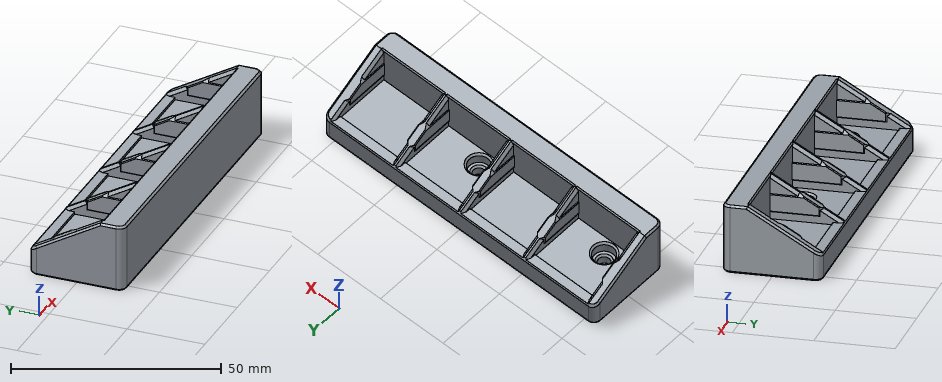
import cadquery as cq
import math

LENGTH = 86.8
DEPTH = 24.5
HEIGHT = 17.3
FRONT = -DEPTH / 2
BACK = DEPTH / 2
CORNER_RADIUS = 2.0
EDGE_CHAMFER = 0.5
SLOPE_START = -6.1
SLOPE_ANGLE = math.radians(30)
SLOPE_NORMAL = (0, math.sin(SLOPE_ANGLE), math.cos(SLOPE_ANGLE))
UP_SLOPE = (0, -math.cos(SLOPE_ANGLE), math.sin(SLOPE_ANGLE))

POCKET_COUNT = 4
POCKET_PITCH = 20.75
DIVIDER = 2.1
POCKET_WIDTH = POCKET_PITCH - DIVIDER
POCKET_FRONT = SLOPE_START
FLOOR_Z = 6.0
LEDGE_Z = 6.6
LEDGE_START = 9.4
FRONT_CHAMFER = 0.35
MOUTH_CHAMFER = 0.8

PAD_THICKNESS = 0.22
PAD_BOTTOM = 7.8
PAD_TOP = 12.4
PAD_BACK = 6.2
PAD_MOUTH_CHAMFER = 0.3
PAD_SIDE_ANGLE = 45

HOLE_CENTERS = [(-33.4, -2.3), (6.6, -2.3)]
HOLE_RADIUS = 3.4 / 2
HOLE_LEAD_IN = 0.5
HEAD_RADIUS = 6.0 / 2
HEAD_DEPTH = 3.0
HEAD_LEAD_IN = 0.5

OVERCUT = 4.3


def make_body():
    back_height = HEIGHT - (BACK - SLOPE_START) * math.tan(SLOPE_ANGLE)
    body = (
        cq.Workplane("YZ")
        .moveTo(FRONT, 0)
        .lineTo(BACK, 0)
        .lineTo(BACK, back_height)
        .lineTo(SLOPE_START, HEIGHT)
        .lineTo(FRONT, HEIGHT)
        .close()
        .extrude(LENGTH / 2, both=True)
        .edges("|Z")
        .fillet(CORNER_RADIUS)
    )
    slope_face = body.faces(cq.selectors.ParallelDirSelector(cq.Vector(*SLOPE_NORMAL)))
    ridge = cq.selectors.NearestToPointSelector((0, SLOPE_START, HEIGHT))
    return body.faces(">Z or <Z").add(slope_face).edges(-ridge).chamfer(EDGE_CHAMFER)


def make_mouth_flare(gap, chamfer):
    """Cutter along the slope that bevels both side walls of an opening, behind the pocket front."""
    along_slope = cq.Plane(origin=(0, SLOPE_START, HEIGHT), xDir=(1, 0, 0), normal=UP_SLOPE)
    inner = gap / 2
    outer = inner + chamfer
    flare = (
        cq.Workplane(along_slope)
        .moveTo(-inner, -chamfer)
        .lineTo(inner, -chamfer)
        .lineTo(outer, 0)
        .lineTo(outer, OVERCUT)
        .lineTo(-outer, OVERCUT)
        .lineTo(-outer, 0)
        .close()
        .extrude(DEPTH + OVERCUT, both=True)
    )
    limits = (
        cq.Workplane("XY")
        .box(LENGTH, DEPTH, HEIGHT, centered=(True, False, False))
        .translate((0, POCKET_FRONT, LEDGE_Z))
    )
    return flare.intersect(limits)


def make_left_pad():
    """Pad with sloping sides on the left wall, running into the front wall.

    Its root is sunk into the wall as far as the mouth chamfer cuts the wall back.
    """
    root = MOUTH_CHAMFER
    rise = root + PAD_THICKNESS
    root_front = POCKET_FRONT - rise
    root_length = PAD_BACK + root - root_front
    root_height = PAD_TOP - PAD_BOTTOM + 2 * root
    return (
        cq.Workplane("YZ")
        .rect(root_length, root_height, centered=False)
        .extrude(rise, taper=PAD_SIDE_ANGLE)
        .translate((-POCKET_WIDTH / 2 - root, root_front, PAD_BOTTOM - root))
    )


def make_pocket():
    """Solid with the shape of one pocket's empty space, centred on X = 0."""
    half_width = POCKET_WIDTH / 2
    space = (
        cq.Workplane("YZ")
        .moveTo(POCKET_FRONT, FLOOR_Z)
        .lineTo(LEDGE_START, FLOOR_Z)
        .lineTo(LEDGE_START, LEDGE_Z)
        .lineTo(BACK + OVERCUT, LEDGE_Z)
        .lineTo(BACK + OVERCUT, HEIGHT + OVERCUT)
        .lineTo(POCKET_FRONT, HEIGHT + OVERCUT)
        .close()
        .extrude(half_width, both=True)
        .union(make_mouth_flare(POCKET_WIDTH, MOUTH_CHAMFER))
    )
    left_pad = make_left_pad()
    space = space.cut(left_pad).cut(left_pad.mirror("YZ"))
    space = space.union(make_mouth_flare(POCKET_WIDTH - 2 * PAD_THICKNESS, PAD_MOUTH_CHAMFER))

    front_bevel = (
        cq.Workplane("YZ")
        .moveTo(POCKET_FRONT, HEIGHT - FRONT_CHAMFER)
        .lineTo(POCKET_FRONT, HEIGHT)
        .lineTo(POCKET_FRONT - FRONT_CHAMFER, HEIGHT)
        .close()
        .extrude(half_width + MOUTH_CHAMFER, both=True)
    )
    return space.union(front_bevel)


def make_screw_hole():
    """Stepped hole cutter, bevelled where the head recess and the shank begin."""
    head_z = FLOOR_Z - HEAD_DEPTH
    return (
        cq.Workplane("XZ")
        .lineTo(HOLE_RADIUS, 0)
        .lineTo(HOLE_RADIUS, head_z - HOLE_LEAD_IN)
        .lineTo(HOLE_RADIUS + HOLE_LEAD_IN, head_z)
        .lineTo(HEAD_RADIUS, head_z)
        .lineTo(HEAD_RADIUS, FLOOR_Z - HEAD_LEAD_IN)
        .lineTo(HEAD_RADIUS + HEAD_LEAD_IN, FLOOR_Z)
        .lineTo(0, FLOOR_Z)
        .close()
        .revolve(360, (0, 0, 0), (0, 1, 0))
    )


result = make_body()

pocket = make_pocket()
for index in range(POCKET_COUNT):
    pocket_x = (index - (POCKET_COUNT - 1) / 2) * POCKET_PITCH
    result = result.cut(pocket.translate((pocket_x, 0, 0)))

screw_hole = make_screw_hole()
for hole_x, hole_y in HOLE_CENTERS:
    result = result.cut(screw_hole.translate((hole_x, hole_y, 0)))